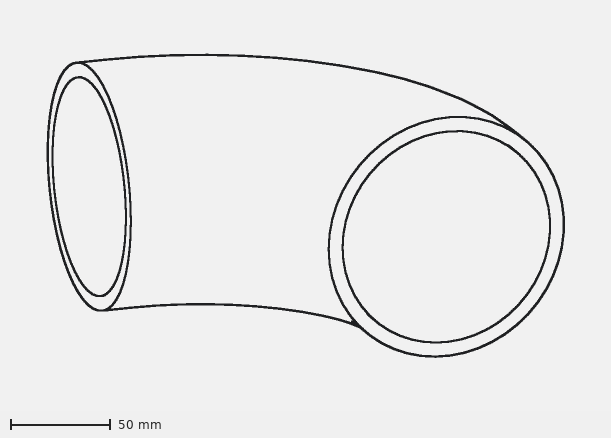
import cadquery as cq
import math

overall_length = 202.5
outer_diameter = 125.0
inner_diameter = 110.2
bend_radius = outer_diameter
collar_length = overall_length - bend_radius - outer_diameter / 2

bend_start = (0, collar_length)
bend_middle = (
    bend_radius * (1 - math.cos(math.radians(45))),
    collar_length + bend_radius * math.sin(math.radians(45)),
)
bend_end = (bend_radius, collar_length + bend_radius)
second_mouth = (bend_radius + collar_length, collar_length + bend_radius)

centreline = (
    cq.Workplane("XY")
    .lineTo(*bend_start)
    .threePointArc(bend_middle, bend_end)
    .lineTo(*second_mouth)
)

result = (
    cq.Workplane("XZ")
    .circle(outer_diameter / 2)
    .circle(inner_diameter / 2)
    .sweep(centreline)
)